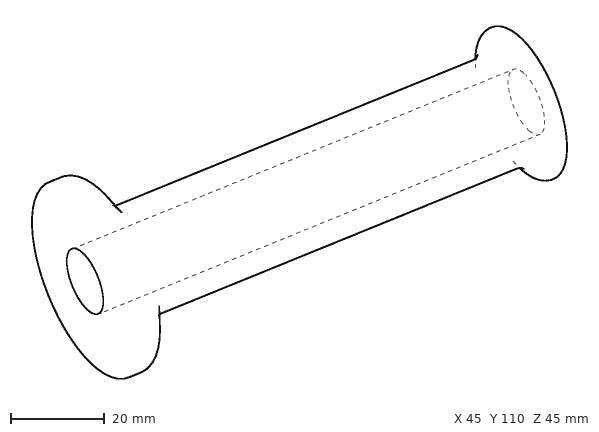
import cadquery as cq
import math

length = 110.0
bore_radius = 15.0 / 2
barrel_radius = 25.0 / 2
large_flange_radius = 45.0 / 2
small_flange_radius = 35.0 / 2
large_rim_corner = 5.1
end_round = 1.0
rim_round = 2.0
neck_fillet = 5.0
cone_angle = math.radians(30)

shortest_edge = 1.1e-06

turn = math.pi / 2 - cone_angle
rim_tangent = rim_round * math.tan(turn / 2)
small_rim_corner = end_round + rim_tangent


def arc_point(center_x, center_y, radius, angle):
    """Point on a circle, with the angle measured from +X."""
    return (center_x + radius * math.cos(angle), center_y + radius * math.sin(angle))


def flange(radius, rim_corner):
    """Solid flange standing on y = 0, with its flared neck towards +Y."""
    end_center = (radius - end_round, end_round)
    rim_center = (radius - rim_round, rim_corner - rim_tangent)

    neck_center_x = barrel_radius + neck_fillet
    neck_start_x = neck_center_x - neck_fillet * math.cos(turn)
    neck_start_y = rim_corner + (radius - neck_start_x) * math.tan(cone_angle)
    neck_end_y = neck_start_y + neck_fillet * math.sin(turn)
    neck_center = (neck_center_x, neck_end_y)

    profile = (
        cq.Workplane("XY")
        .lineTo(radius - end_round, 0)
        .threePointArc(arc_point(*end_center, end_round, -math.pi / 4), (radius, end_round))
    )
    rim_start_y = rim_center[1]
    if rim_start_y - end_round > shortest_edge:
        profile = profile.lineTo(radius, rim_start_y)
    return (
        profile
        .threePointArc(
            arc_point(*rim_center, rim_round, turn / 2),
            arc_point(*rim_center, rim_round, turn),
        )
        .lineTo(neck_start_x, neck_start_y)
        .threePointArc(
            arc_point(*neck_center, neck_fillet, math.pi + turn / 2),
            (barrel_radius, neck_end_y),
        )
        .lineTo(0, neck_end_y)
        .close()
        .revolve(360, (0, 0, 0), (0, 1, 0))
    )


def cylinder(radius):
    """Full-length cylinder along +Y."""
    return cq.Workplane("XZ").circle(radius).extrude(-length)


large_flange = flange(large_flange_radius, large_rim_corner)
small_flange = (
    flange(small_flange_radius, small_rim_corner)
    .rotate((0, 0, 0), (0, 0, 1), 180)
    .translate((0, length, 0))
)

spool = cylinder(barrel_radius).union(large_flange).union(small_flange)
result = spool.cut(cylinder(bore_radius))